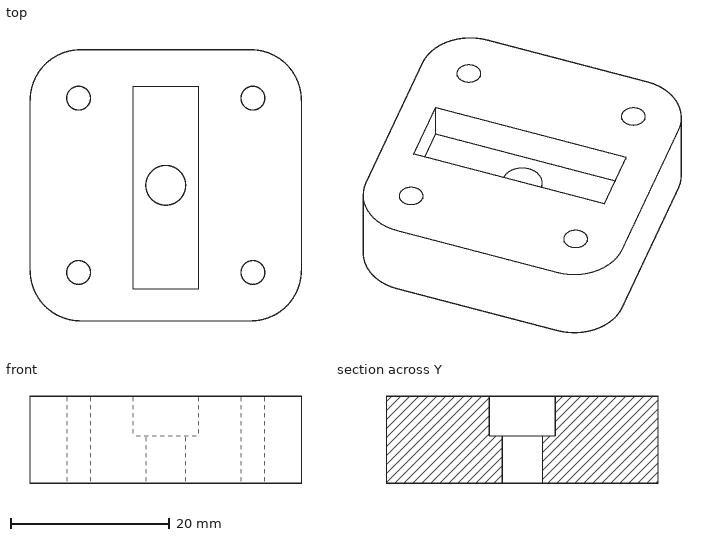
import cadquery as cq

side = 34.3
height = 11.0
corner_radius = 6.4

mount_spacing = 22.0
mount_diameter = 3.0

pocket_width = 8.33
pocket_length = 25.5
pocket_depth = 5.0
pocket_offset_y = -0.3

center_diameter = 5.0


def make_block():
    """Square plate with rounded vertical edges, standing on Z = 0."""
    block = cq.Workplane("XY").box(side, side, height, centered=(True, True, False))
    return block.edges("|Z").fillet(corner_radius)


def cut_pocket(body):
    """Sink the rectangular pocket from the top face."""
    return (
        body.faces(">Z")
        .workplane(origin=(0, 0, height))
        .center(0, pocket_offset_y)
        .rect(pocket_width, pocket_length)
        .cutBlind(-pocket_depth)
    )


def hole_cutters():
    """Vertical cylinders for the corner holes and the centre hole."""
    mounts = (
        cq.Workplane("XY")
        .rect(mount_spacing, mount_spacing, forConstruction=True)
        .vertices()
        .circle(mount_diameter / 2)
        .extrude(height)
    )
    center = cq.Workplane("XY").circle(center_diameter / 2).extrude(height)
    return mounts.add(center).combine()


result = cut_pocket(make_block()).cut(hole_cutters())